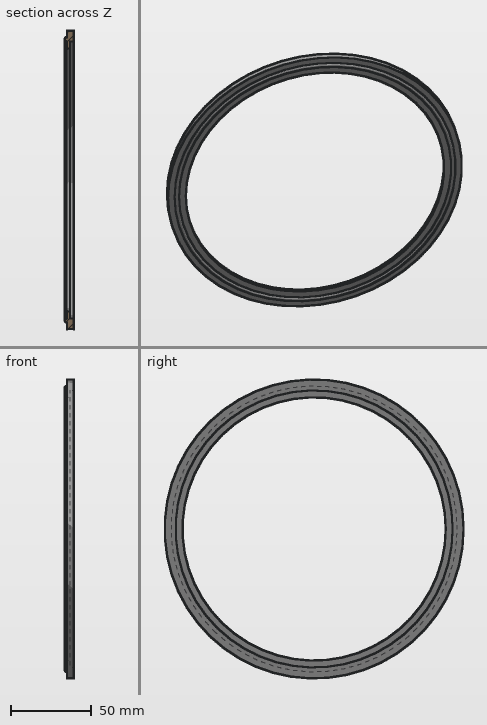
import cadquery as cq

outer_diameter = 185.0
bore_diameter = 162.6
total_thickness = 5.7
bead_width = 2.8
bead_outer_diameter = 176.9
web_rise = 0.2
web_thickness = 2.2

outer_radius = outer_diameter / 2
bore_radius = bore_diameter / 2
bead_radius = bead_width / 2
bead_outer_radius = bead_outer_diameter / 2
bead_centre_radius = bead_outer_radius - bead_radius
flange_thickness = total_thickness - bead_radius
web_back = web_thickness - web_rise
web_outer_radius = bead_centre_radius - (bead_radius**2 - web_rise**2) ** 0.5
recess_radius = bead_outer_radius - bead_width

section = (
    cq.Workplane("XY")
    .moveTo(-web_rise, bore_radius)
    .lineTo(web_back, bore_radius)
    .lineTo(web_back, recess_radius)
    .lineTo(flange_thickness, recess_radius)
    .lineTo(flange_thickness, outer_radius)
    .lineTo(0, outer_radius)
    .lineTo(0, bead_outer_radius)
    .threePointArc(
        (-bead_radius, bead_centre_radius),
        (-web_rise, web_outer_radius),
    )
    .close()
)

result = section.revolve(360, (0, 0, 0), (1, 0, 0))